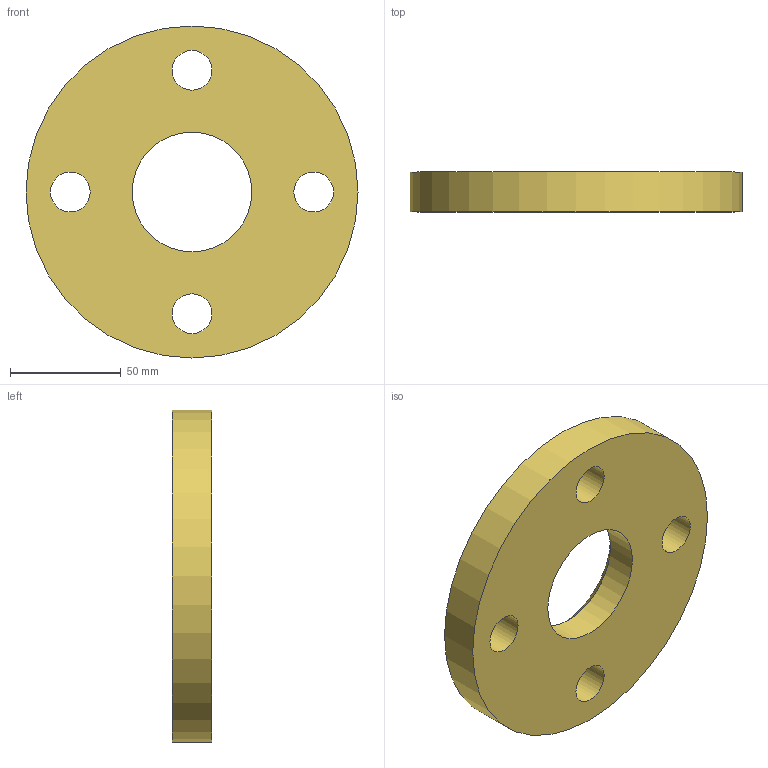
import cadquery as cq

outer_diameter = 150.0
thickness = 18.0
bore_diameter = 54.0
bore_chamfer = 4.0
bolt_circle_diameter = 110.0
bolt_hole_diameter = 18.0
bolt_hole_count = 4


def flange_disc():
    """Plain disc with its back face on the XZ plane and its front face at -Y."""
    return cq.Workplane("XZ").circle(outer_diameter / 2).extrude(thickness)


def cut_bore(body):
    """Central through bore with a 45 degree chamfer at its back (+Y) end."""
    bore = cq.Workplane("XZ").circle(bore_diameter / 2).extrude(thickness)
    chamfer_cone = cq.Solid.makeCone(
        bore_diameter / 2 + bore_chamfer,
        bore_diameter / 2,
        bore_chamfer,
        dir=cq.Vector(0, -1, 0),
    )
    return body.cut(bore).cut(cq.Workplane(chamfer_cone))


def cut_bolt_holes(body):
    """Through holes equally spaced on the bolt circle, starting on the X axis."""
    holes = (
        cq.Workplane("XZ")
        .polarArray(bolt_circle_diameter / 2, 0, 360, bolt_hole_count)
        .circle(bolt_hole_diameter / 2)
        .extrude(thickness)
    )
    return body.cut(holes)


result = cut_bolt_holes(cut_bore(flange_disc()))